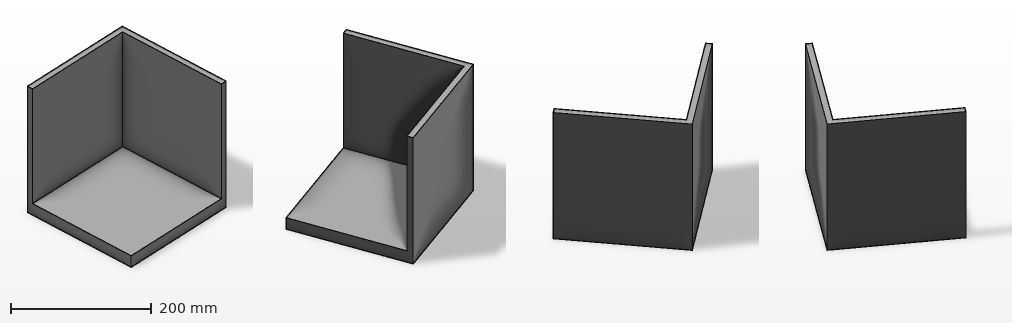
import cadquery as cq

side = 200.0
height = 220.0
wall = 10.0
floor = 20.0

block = cq.Workplane("XY").box(side, side, height, centered=False)

opening = (
    cq.Workplane("XY")
    .box(side - wall, side - wall, height - floor, centered=False)
    .translate((wall, 0, floor))
)

result = block.cut(opening)